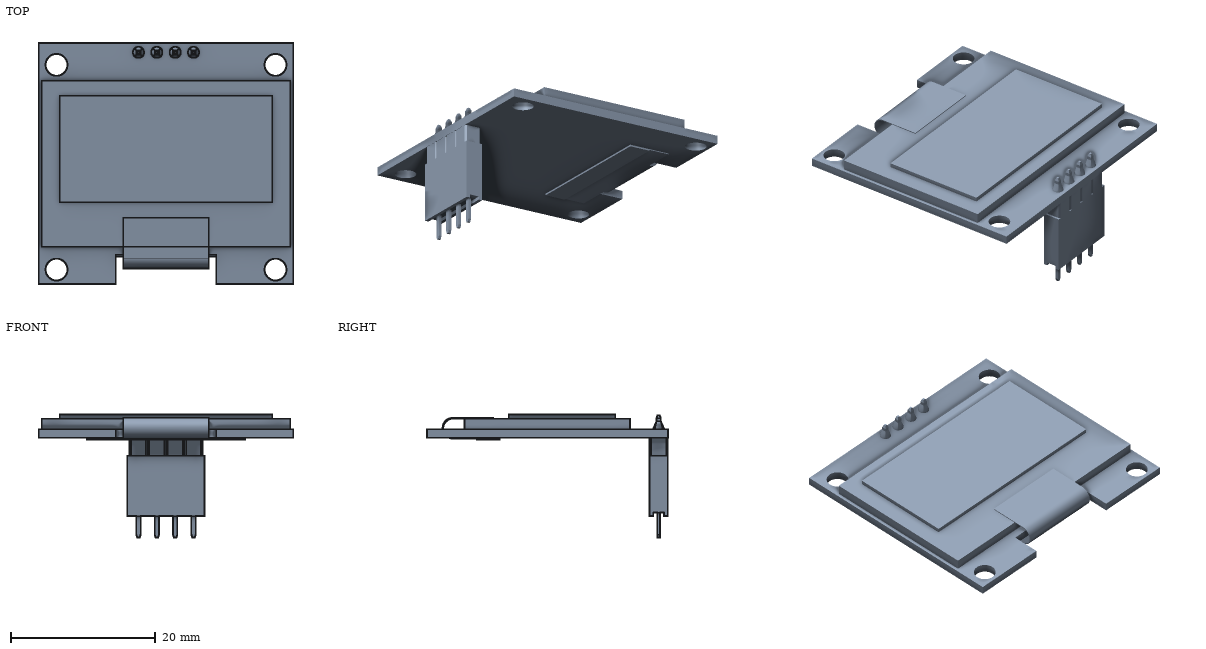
import cadquery as cq
import math


BOARD_X = 35.4
BOARD_Y = 33.5
BOARD_T = 1.2
BACK_EDGE = BOARD_Y / 2
FRONT_EDGE = -BOARD_Y / 2
MOUNT_HOLE_D = 3.0
MOUNT_HOLE_PITCH_X = 30.4
MOUNT_HOLE_BACK_Y = BACK_EDGE - 3.05
MOUNT_HOLE_FRONT_Y = FRONT_EDGE + 2.02
NOTCH_X = 13.95
NOTCH_Y = 4.07
NOTCH_EDGE = FRONT_EDGE + NOTCH_Y

GLASS_X = 34.5
GLASS_Y = 23.0
GLASS_T = 1.45
GLASS_BACK_Y = BACK_EDGE - 5.27
ACTIVE_X = 29.52
ACTIVE_Y = 14.8
ACTIVE_T = 0.6
ACTIVE_BACK_Y = BACK_EDGE - 7.33

FLEX_T = 0.125
FLEX_X = 11.9
FLEX_BACK_Y = BACK_EDGE - 24.3
FLEX_TOP = GLASS_T + FLEX_T
FLEX_BOTTOM = -BOARD_T - FLEX_T
BEND_R = (FLEX_TOP - FLEX_BOTTOM) / 2
BEND_Z = (FLEX_TOP + FLEX_BOTTOM) / 2
BEND_Y = BACK_EDGE - 29.88
TAIL_X = 21.95
TAIL_FRONT_Y = NOTCH_EDGE - 0.3
PAD_T = 0.25
PAD_FRONT_Y = BACK_EDGE - 26.55
PAD_BACK_Y = BACK_EDGE - 23.4

PIN_COUNT = 4
PIN_PITCH = 2.55
PIN_Y = BACK_EDGE - 1.3
PIN_XS = [(i - (PIN_COUNT - 1) / 2) * PIN_PITCH for i in range(PIN_COUNT)]
HEADER_Y = 2.55

SPACER_H = 2.48
SPACER_CHAMFER = 0.25
SPACER_BOTTOM = -BOARD_T - SPACER_H

SOCKET_X = 10.75
SOCKET_H = 8.4
SOCKET_BOTTOM = SPACER_BOTTOM - SOCKET_H
GROOVE_Y = 1.45
GROOVE_H = 0.45

PIN_SIDE = 0.65
PIN_TOP = 1.95
OVERALL_Z = 17.15
PIN_BOTTOM = GLASS_T + ACTIVE_T - OVERALL_Z
CONTACT_X = 0.65
CONTACT_Y = 0.42
TIP_H = 0.42
TIP_TAPER = 0.18
CONTACT_TIP_H = 0.42
CONTACT_TIP_TAPER = 0.15
SOLDER_D = 1.55
PIN_HOLE_D = 1.0
SOLDER_H = 1.05


def block(size_x, size_y, z_low, z_high, y=0.0, x=0.0):
    """Box centred on (x, y) between two heights."""
    return (
        cq.Workplane("XY", origin=(x, y, z_low))
        .rect(size_x, size_y)
        .extrude(z_high - z_low)
    )


def strip(size_x, y_front, y_back, z_low, z_high):
    """Box centred on X = 0 between two Y positions and two heights."""
    return block(size_x, y_back - y_front, z_low, z_high, y=(y_front + y_back) / 2)


def make_board():
    board = block(BOARD_X, BOARD_Y, -BOARD_T, 0)
    board = board.cut(strip(NOTCH_X, FRONT_EDGE, NOTCH_EDGE, -BOARD_T, 0))
    half_pitch = MOUNT_HOLE_PITCH_X / 2
    mount_points = [
        (x, y)
        for x in (-half_pitch, half_pitch)
        for y in (MOUNT_HOLE_FRONT_Y, MOUNT_HOLE_BACK_Y)
    ]
    mount_holes = cq.Workplane("XY").pushPoints(mount_points).circle(MOUNT_HOLE_D / 2).extrude(-BOARD_T)
    return board.cut(mount_holes)


def make_display():
    glass = strip(GLASS_X, GLASS_BACK_Y - GLASS_Y, GLASS_BACK_Y, 0, GLASS_T)
    active_area = strip(
        ACTIVE_X, ACTIVE_BACK_Y - ACTIVE_Y, ACTIVE_BACK_Y, GLASS_T, GLASS_T + ACTIVE_T
    )
    return glass.union(active_area)


def make_flex():
    """Thin band over the glass, half-round bend, and a wide tail under the board."""
    inner_r = BEND_R - FLEX_T
    band = (
        cq.Workplane("YZ", origin=(-FLEX_X / 2, 0, 0))
        .moveTo(FLEX_BACK_Y, FLEX_TOP)
        .lineTo(BEND_Y, FLEX_TOP)
        .threePointArc((BEND_Y - BEND_R, BEND_Z), (BEND_Y, FLEX_BOTTOM))
        .lineTo(TAIL_FRONT_Y, FLEX_BOTTOM)
        .lineTo(TAIL_FRONT_Y, -BOARD_T)
        .lineTo(BEND_Y, -BOARD_T)
        .threePointArc((BEND_Y - inner_r, BEND_Z), (BEND_Y, GLASS_T))
        .lineTo(FLEX_BACK_Y, GLASS_T)
        .close()
        .extrude(FLEX_X)
    )
    tail = strip(TAIL_X, TAIL_FRONT_Y, PAD_FRONT_Y, FLEX_BOTTOM, -BOARD_T)
    pad = strip(TAIL_X, PAD_FRONT_Y, PAD_BACK_Y, -BOARD_T - PAD_T, -BOARD_T)
    return band.union(tail).union(pad)


def make_spacer():
    """Row of octagonal segments, one around each pin."""
    spacer = cq.Workplane("XY")
    for x in PIN_XS:
        segment = block(PIN_PITCH, HEADER_Y, SPACER_BOTTOM, -BOARD_T, y=PIN_Y, x=x)
        spacer = spacer.union(segment.edges("|Z").chamfer(SPACER_CHAMFER))
    return spacer


def make_socket():
    """Plain block with a groove along its underside."""
    socket = block(SOCKET_X, HEADER_Y, SOCKET_BOTTOM, SPACER_BOTTOM, y=PIN_Y)
    groove = block(SOCKET_X, GROOVE_Y, SOCKET_BOTTOM, SOCKET_BOTTOM + GROOVE_H, y=PIN_Y)
    return socket.cut(groove)


def make_solder():
    """Solder at X = 0: fills the round board hole and rises from a circle to the square pin."""
    radius = SOLDER_D / 2
    corner = radius * math.sqrt(0.5)
    fillet = (
        cq.Workplane("XY", origin=(0, PIN_Y, 0))
        .moveTo(-corner, -corner)
        .threePointArc((0, -radius), (corner, -corner))
        .threePointArc((radius, 0), (corner, corner))
        .threePointArc((0, radius), (-corner, corner))
        .threePointArc((-radius, 0), (-corner, -corner))
        .close()
        .workplane(offset=SOLDER_H)
        .rect(PIN_SIDE, PIN_SIDE)
        .loft(ruled=True)
    )
    barrel = cq.Workplane("XY", origin=(0, PIN_Y, 0)).circle(PIN_HOLE_D / 2).extrude(-BOARD_T)
    return fillet.union(barrel)


def make_pin():
    """Pin at X = 0: square upper part with its solder, flat lower part, both ends tapered."""
    shank = block(PIN_SIDE, PIN_SIDE, SPACER_BOTTOM, PIN_TOP - TIP_H, y=PIN_Y)
    top_tip = (
        cq.Workplane("XY", origin=(0, PIN_Y, PIN_TOP - TIP_H))
        .rect(PIN_SIDE, PIN_SIDE)
        .workplane(offset=TIP_H)
        .rect(PIN_SIDE - 2 * TIP_TAPER, PIN_SIDE - 2 * TIP_TAPER)
        .loft(ruled=True)
    )
    contact = block(CONTACT_X, CONTACT_Y, PIN_BOTTOM, SPACER_BOTTOM, y=PIN_Y)
    contact = contact.faces("<Z").edges("|Y").chamfer(CONTACT_TIP_H, CONTACT_TIP_TAPER)
    return shank.union(top_tip).union(contact).union(make_solder())


pin = make_pin()
pins = [pin.translate((x, 0, 0)) for x in PIN_XS]

board = make_board()
spacer = make_spacer()
socket = make_socket()
for placed_pin in pins:
    board = board.cut(placed_pin)
    spacer = spacer.cut(placed_pin)
    socket = socket.cut(placed_pin)

display = make_display()
flex = make_flex()

result = cq.Compound.makeCompound(
    [board.val(), display.val(), flex.val(), spacer.val(), socket.val()]
    + [placed_pin.val() for placed_pin in pins]
)